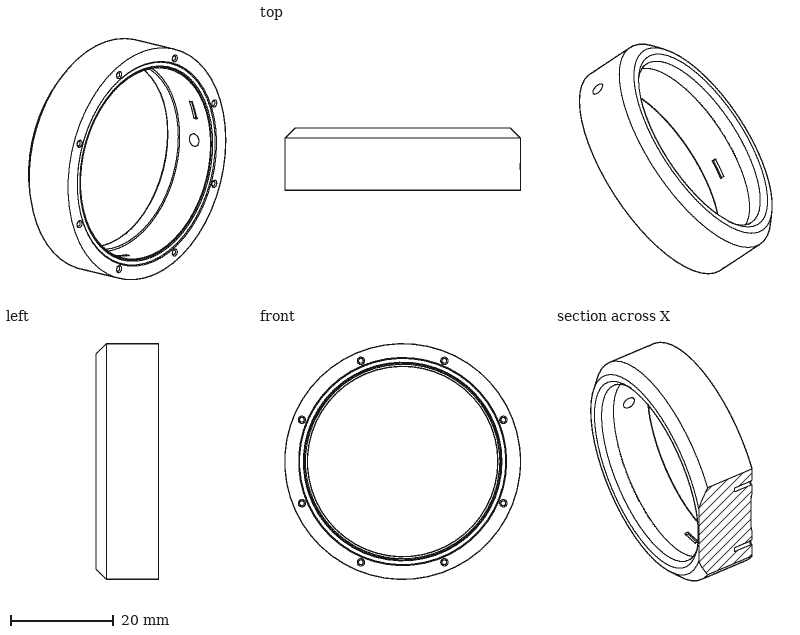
import cadquery as cq

outer_radius = 23.0
length = 12.2
front_y = -length / 2
back_y = length / 2
back_chamfer = 2.02

recess_radius = 20.1
recess_depth = 0.2
inner_recess_radius = 19.2
inner_recess_depth = 0.35
bore_radius = 18.95
rear_bore_radius = 18.55
rear_bore_length = 3.73
rear_bore_chamfer = 1.0

screw_count = 8
screw_circle_radius = 21.25
screw_diameter = 0.9
screw_depth = 4.0
countersink_diameter = 1.43
countersink_angle = 90

side_hole_diameter = 2.5
side_hole_y = -1.43

slot_count = 3
slot_first_angle = 20.0
slot_span = 12.0
slot_width = 0.8
slot_depth = 0.5
slot_overlap = 0.25
slot_y = -2.25


def make_ring():
    """Revolve the ring section (radius, Y) about the Y axis."""
    recess_y = front_y + recess_depth
    inner_recess_y = front_y + inner_recess_depth
    shoulder_y = back_y - rear_bore_length
    inner_recess_slope = inner_recess_depth - recess_depth
    section = [
        (recess_radius + recess_depth, front_y),
        (outer_radius, front_y),
        (outer_radius, back_y - back_chamfer),
        (outer_radius - back_chamfer, back_y),
        (rear_bore_radius + rear_bore_chamfer, back_y),
        (rear_bore_radius, back_y - rear_bore_chamfer),
        (rear_bore_radius, shoulder_y),
        (bore_radius, shoulder_y),
        (bore_radius, inner_recess_y),
        (inner_recess_radius, inner_recess_y),
        (inner_recess_radius + inner_recess_slope, recess_y),
        (recess_radius, recess_y),
    ]
    return cq.Workplane("XY").polyline(section).close().revolve(360, (0, 0, 0), (0, 1, 0))


def cut_screw_holes(body):
    """Blind countersunk holes, evenly spaced half a pitch off the X axis."""
    first_angle = 180 / screw_count
    return (
        body.faces("<Y").workplane(origin=(0, front_y, 0))
        .polarArray(screw_circle_radius, first_angle, 360, screw_count)
        .cskHole(screw_diameter, countersink_diameter, countersink_angle, depth=screw_depth)
    )


def make_side_hole():
    """Cylinder running outward along +X through the wall."""
    return (
        cq.Workplane("YZ").center(side_hole_y, 0)
        .circle(side_hole_diameter / 2).extrude(outer_radius)
    )


def make_slot(middle_angle):
    """Part-turn ring that sinks into the bore wall; angle runs from +X to +Z."""
    radial_size = slot_depth + slot_overlap
    middle_radius = bore_radius + slot_depth - radial_size / 2
    return (
        cq.Workplane("XY").center(middle_radius, slot_y)
        .rect(radial_size, slot_width)
        .revolve(slot_span, (-middle_radius, 0), (-middle_radius, -1))
        .rotate((0, 0, 0), (0, -1, 0), middle_angle - slot_span / 2)
    )


result = cut_screw_holes(make_ring()).cut(make_side_hole())
for index in range(slot_count):
    result = result.cut(make_slot(slot_first_angle + index * 360 / slot_count))